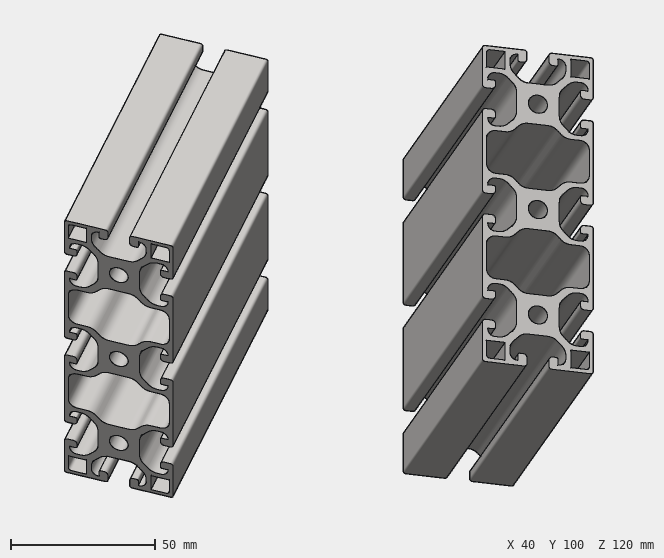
import cadquery as cq
import math

height = 120.0
cells = 3
module = height / cells
half = module / 2
length = 2.5 * module

slot_half_opening = 4.0
core_half = 7.7
undercut_half = 10.1
hook_half = 7.2
hook_depth = 4.7
lip_thickness = 1.9
web_thickness = 3.0
slot_bend_radius = 4.8
undercut_radius = 2.6

lip_outer_radius = 1.1
lip_inner_radius = 1.5
hook_radius = 0.6

outer_corner_radius = 1.0
bore_diameter = 6.8
outer_wall = 1.5
inner_wall = 1.8
corner_hollow_radius = 1.2
chamber_corner_radius = 3.4

web_shift = web_thickness / math.sqrt(2)
hollow_inner = undercut_half + inner_wall
hollow_outer = half - outer_wall

cell_heights = [(i - (cells - 1) / 2) * module for i in range(cells)]
chamber_heights = [(low + high) / 2 for low, high in zip(cell_heights, cell_heights[1:])]


def extrude_outline(points):
    """Extrude a closed XZ polygon over the full length, centred on Y = 0."""
    return cq.Workplane("XZ").polyline(points).close().extrude(length / 2, both=True)


def round_edges(body, points, radius):
    """Fillet the lengthwise edges that pass through the given XZ points."""
    for x, z in points:
        body = body.edges(cq.selectors.NearestToPointSelector((x, 0, z))).fillet(radius)
    return body


def mirror_x(points):
    return [(-x, z) for x, z in reversed(points)]


def make_slot():
    """Space of one T-slot that opens upward, with the module axis at the origin."""
    core_corner = (core_half - web_shift, core_half)
    bend_corner = (undercut_half, undercut_half + web_shift)
    roof_corner = (undercut_half, half - lip_thickness)
    roof_end = (hook_half, half - lip_thickness)
    hook_tip = (hook_half, half - hook_depth)
    lip_bottom = (slot_half_opening, half - hook_depth)
    lip_top = (slot_half_opening, half)
    right_side = [core_corner, bend_corner, roof_corner, roof_end, hook_tip, lip_bottom, lip_top]
    slot = extrude_outline(right_side + mirror_x(right_side))

    rounds = [
        (core_corner, slot_bend_radius),
        (bend_corner, slot_bend_radius),
        (roof_corner, undercut_radius),
        (hook_tip, hook_radius),
        (lip_bottom, lip_inner_radius),
    ]
    for corner, radius in rounds:
        slot = round_edges(slot, [corner] + mirror_x([corner]), radius)
    return slot


def make_chamber():
    """Hollow between two neighbouring modules, centred on the origin."""
    waist = half - core_half
    side = half - hollow_inner
    wall_corner = (hollow_outer, side)
    bend_corner = (hollow_inner - web_shift, side)
    waist_corner = (core_half - web_shift, waist)
    upper_right = [wall_corner, bend_corner, waist_corner]
    upper = upper_right + mirror_x(upper_right)
    lower = [(-x, -z) for x, z in upper]
    chamber = extrude_outline(upper + lower)

    rounds = [
        (wall_corner, chamber_corner_radius),
        (bend_corner, slot_bend_radius),
        (waist_corner, slot_bend_radius),
    ]
    for (x, z), radius in rounds:
        corners = [(x, z), (-x, z), (-x, -z), (x, -z)]
        chamber = round_edges(chamber, corners, radius)
    return chamber


def make_corner_hollow():
    """Square hollow behind the +X, +Z corner of a module centred on the origin."""
    size = hollow_outer - hollow_inner
    middle = (hollow_outer + hollow_inner) / 2
    hollow = cq.Workplane("XY").box(size, length, size).translate((middle, 0, middle))
    return round_edges(hollow, [(hollow_outer, hollow_outer)], corner_hollow_radius)


body = cq.Workplane("XY").box(module, length, height).edges("|Y").fillet(outer_corner_radius)

slot = make_slot()
right_slot = slot.rotate((0, 0, 0), (0, 1, 0), 90)
for z in cell_heights:
    body = body.cut(right_slot.translate((0, 0, z)))
    body = body.cut(right_slot.mirror("YZ").translate((0, 0, z)))
top_slot = slot.translate((0, 0, cell_heights[-1]))
body = body.cut(top_slot).cut(top_slot.mirror("XY"))

lip_edges = []
for edge in (slot_half_opening, -slot_half_opening):
    lip_edges += [(edge, height / 2), (edge, -height / 2)]
    for z in cell_heights:
        lip_edges += [(half, z + edge), (-half, z + edge)]
body = round_edges(body, lip_edges, lip_outer_radius)

chamber = make_chamber()
for z in chamber_heights:
    body = body.cut(chamber.translate((0, 0, z)))

upper_hollow = make_corner_hollow().translate((0, 0, cell_heights[-1]))
upper_hollows = upper_hollow.union(upper_hollow.mirror("YZ"))
body = body.cut(upper_hollows).cut(upper_hollows.mirror("XY"))

bores = (
    cq.Workplane("XZ")
    .pushPoints([(0, z) for z in cell_heights])
    .circle(bore_diameter / 2)
    .extrude(length / 2, both=True)
)
result = body.cut(bores)